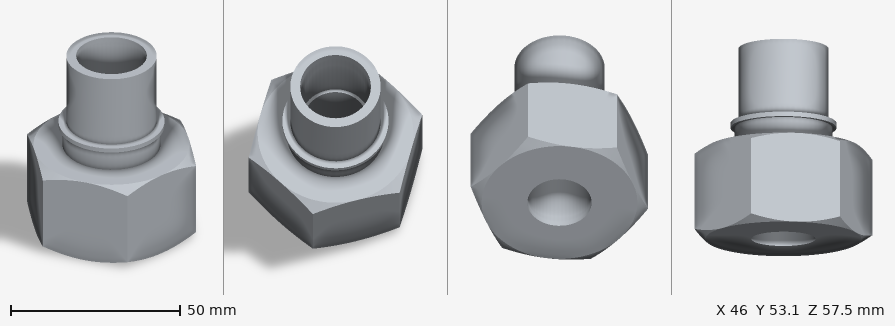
import cadquery as cq
import math

total_height = 57.5
nut_height = 26.9
flange_bottom = 33.6
flange_top = 34.95

across_flats = 46.0
across_corners = across_flats / math.cos(math.radians(30))
bevel_angle = 30.0
bevel_height = (across_corners - across_flats) / 2 * math.tan(math.radians(bevel_angle))

collar_diameter = 29.0
flange_diameter = 31.35
tube_diameter = 26.7
tube_bore_diameter = 20.9
through_bore_diameter = 19.0


def cylinder(diameter, bottom, top):
    """Cylinder on the Z axis between two levels."""
    return cq.Workplane("XY").workplane(offset=bottom).circle(diameter / 2).extrude(top - bottom)


def hex_nut():
    """Hexagon with corners on the Y axis, bevelled at both ends."""
    hexagon = (
        cq.Workplane("XY")
        .polygon(6, across_corners)
        .extrude(nut_height)
        .rotate((0, 0, 0), (0, 0, 1), 90)
    )
    envelope = (
        cq.Workplane("XZ")
        .moveTo(0, 0)
        .lineTo(across_flats / 2, 0)
        .lineTo(across_corners / 2, bevel_height)
        .lineTo(across_corners / 2, nut_height - bevel_height)
        .lineTo(across_flats / 2, nut_height)
        .lineTo(0, nut_height)
        .close()
        .revolve(360, (0, 0, 0), (0, 1, 0))
    )
    return hexagon.intersect(envelope)


body = hex_nut()
body = body.union(cylinder(collar_diameter, nut_height, flange_bottom))
body = body.union(cylinder(flange_diameter, flange_bottom, flange_top))
body = body.union(cylinder(tube_diameter, flange_top, total_height))

body = body.cut(cylinder(through_bore_diameter, 0, total_height))
result = body.cut(cylinder(tube_bore_diameter, flange_top, total_height))